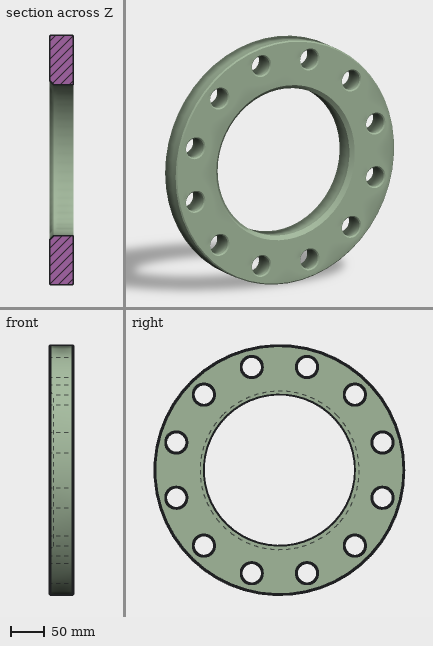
import cadquery as cq

outer_diameter = 375.0
thickness = 36.0
bore_diameter = 226.0
bore_chamfer = 6.0
rim_chamfer = 2.0

bolt_count = 12
bolt_circle_diameter = 320.0
bolt_diameter = 30.0
bolt_chamfer = 2.0

half_pitch_angle = 180.0 / bolt_count


def make_disc():
    """Solid disc with both rim edges chamfered."""
    disc = cq.Workplane("YZ").circle(outer_diameter / 2).extrude(thickness / 2, both=True)
    return disc.edges("%CIRCLE").chamfer(rim_chamfer)


def cut_bore(body):
    """Central bore, chamfered where it meets the -X face."""
    bore = cq.Workplane("YZ").circle(bore_diameter / 2).extrude(thickness, both=True)
    inner_edge = cq.selectors.RadiusNthSelector(0)
    return body.cut(bore).faces("<X").edges(inner_edge).chamfer(bore_chamfer)


def make_bolt_cutter():
    """Bolt hole cutter on the X axis, flared at both ends to chamfer the hole edges."""
    half = thickness / 2
    radius = bolt_diameter / 2
    mouth_radius = radius + bolt_chamfer
    return (
        cq.Workplane("XY")
        .moveTo(-half, 0)
        .lineTo(-half, mouth_radius)
        .lineTo(-half + bolt_chamfer, radius)
        .lineTo(half - bolt_chamfer, radius)
        .lineTo(half, mouth_radius)
        .lineTo(half, 0)
        .close()
        .revolve(360, (0, 0, 0), (1, 0, 0))
    )

def cut_bolt_holes(body):
    """Evenly spaced bolt holes on the bolt circle."""
    first_cutter = make_bolt_cutter().translate((0, bolt_circle_diameter / 2, 0))
    for index in range(bolt_count):
        angle = half_pitch_angle * (2 * index + 1)
        body = body.cut(first_cutter.rotate((0, 0, 0), (1, 0, 0), angle))
    return body


result = cut_bolt_holes(cut_bore(make_disc()))